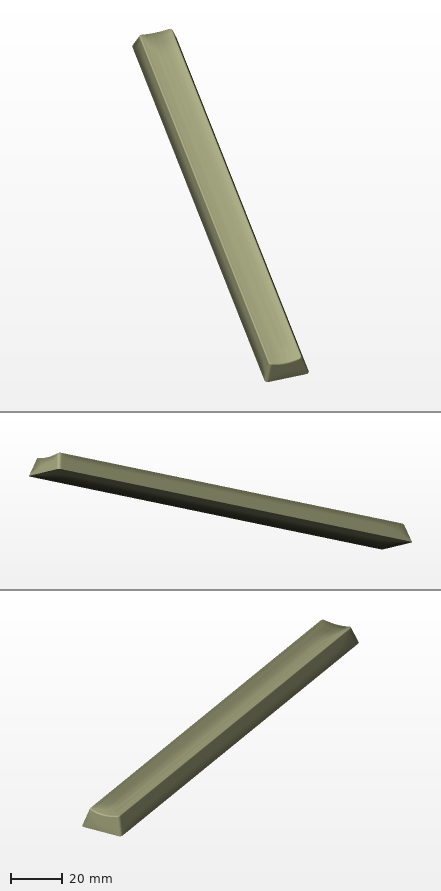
import cadquery as cq
import math

length = 189.5
width = 18.0
height = 7.4
wall_taper = 17.5
corner_radius = 1.3
rim_radius = 0.5
dish_depth = 1.05
rim_trim = 0.15

blank_height = height + rim_trim
side_inset = blank_height * math.tan(math.radians(wall_taper))
overshoot = 1.9


def tapered_body():
    """Solid block with four leaning walls and rounded corner edges."""
    block = cq.Workplane("XY").rect(length, width).extrude(blank_height, taper=wall_taper)
    return block.edges("not #Z").fillet(corner_radius)


def dish_cutter():
    """Cylinder along X that sinks the top by the dish depth at the middle."""
    half_chord = width / 2 - side_inset
    dish_radius = (half_chord**2 + dish_depth**2) / (2 * dish_depth)
    axis_height = blank_height - dish_depth + dish_radius
    return (
        cq.Workplane("YZ")
        .center(0, axis_height)
        .circle(dish_radius)
        .extrude(length / 2 + overshoot, both=True)
    )


def round_rim(body):
    """Round the closed rim between the walls and the dished top."""
    rim_zone = cq.selectors.BoxSelector(
        (-length, -width, blank_height - 2 * dish_depth),
        (length, width, blank_height + dish_depth),
    )
    return body.edges(rim_zone).fillet(rim_radius)


result = round_rim(tapered_body().cut(dish_cutter()))